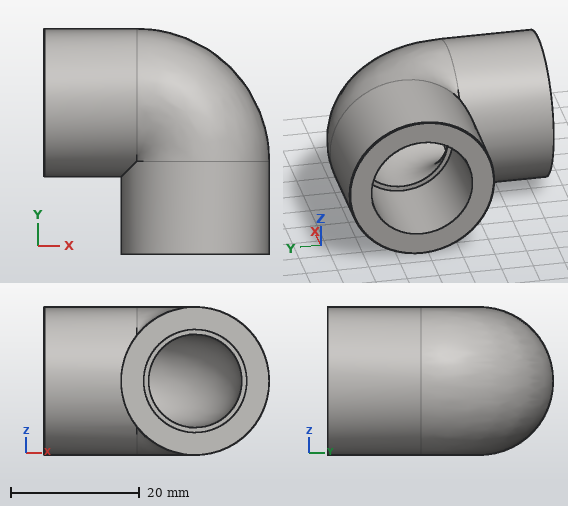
import cadquery as cq
import math

overall_length = 35.0
outer_diameter = 23.0
socket_diameter = 16.0
bore_diameter = 14.45
leg_length = 14.45
rim_chamfer = 0.15

outer_radius = outer_diameter / 2
bend_radius = overall_length - outer_radius - leg_length


def x_leg(diameter):
    """Straight cylinder along the -X leg."""
    return cq.Workplane("YZ").center(bend_radius, 0).circle(diameter / 2).extrude(-leg_length)


def y_leg(diameter):
    """Straight cylinder along the -Y leg."""
    return cq.Workplane("XZ").center(bend_radius, 0).circle(diameter / 2).extrude(leg_length)


def outer_bend():
    """Quarter turn of the outer circle about Z, keeping only the part beyond the Z axis.

    The circle is wider than the bend radius, so it is cut off by a chord on the axis.
    """
    half_chord = math.sqrt(outer_radius**2 - bend_radius**2)
    bend = (
        cq.Workplane("XZ")
        .moveTo(0, -half_chord)
        .threePointArc((bend_radius + outer_radius, 0), (0, half_chord))
        .close()
        .revolve(90, (0, 0, 0), (0, 1, 0))
    )
    return cq.Workplane(bend.val().toNURBS())


def inner_bend():
    """Quarter turn of the bore about Z, joining the two sockets."""
    return (
        cq.Workplane("XZ")
        .center(bend_radius, 0)
        .circle(bore_diameter / 2)
        .revolve(90, (-bend_radius, 0, 0), (-bend_radius, 1, 0))
    )


chamfered_leg = x_leg(outer_diameter).faces("<X").edges().chamfer(rim_chamfer)
body = chamfered_leg.union(y_leg(outer_diameter)).union(outer_bend())

result = body.cut(inner_bend()).cut(x_leg(socket_diameter)).cut(y_leg(socket_diameter))